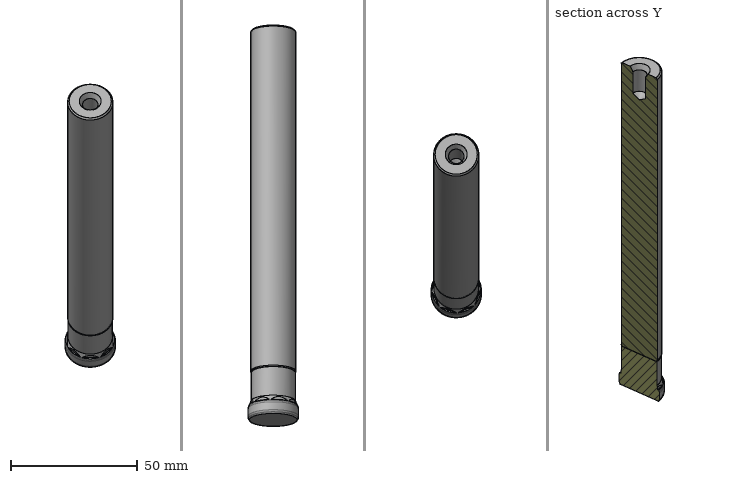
import cadquery as cq
import math

total_length = 160.0
head_length = 19.5
shank_radius = 18.0 / 2
neck_radius = 17.6 / 2
collar_radius = 20.0 / 2
height_tolerance = 0.02

top_chamfer = 0.6
joint_chamfer = 0.5

bottom_chamfer_height = 1.0
bottom_chamfer_width = 0.56
bottom_blend_radius = 1.6
shoulder_bottom = 5.0
shoulder_top = 7.7
collar_blend_radius = 1.6

flat_count = 8
across_flats = 18.0
flats_bottom = 5.8

hole_radius = 6.0 / 2
countersink_radius = 8.6 / 2
countersink_angle = 60.0
hole_depth = 12.8
drill_point_angle = 118.0


def cone_height(radial_change, included_angle):
    """Axial height of a cone over a given change in radius."""
    return radial_change / math.tan(math.radians(included_angle / 2))


def revolve_about_z(profile):
    """Turn a closed XZ half-profile into a solid about the Z axis."""
    return profile.close().revolve(360, (0, 0, 0), (0, 1, 0))


def circle_at(height):
    """Select the circular edges centred on the Z axis at a given height."""
    return cq.selectors.BoxSelector(
        (-collar_radius, -collar_radius, height - height_tolerance),
        (collar_radius, collar_radius, height + height_tolerance),
    )


def make_flats_cutter():
    """Ring outside an upright octagonal prism, with a flat facing each axis."""
    height = shoulder_top - flats_bottom
    across_corners = across_flats / math.cos(math.pi / flat_count)
    base = cq.Workplane("XY", origin=(0, 0, flats_bottom))
    prism = (
        base
        .polygon(flat_count, across_corners)
        .extrude(height)
        .rotate((0, 0, 0), (0, 0, 1), 180 / flat_count)
    )
    return base.circle(2 * collar_radius).extrude(height).cut(prism)


def make_head():
    """Neck with a chamfered collar and a conical shoulder carrying flats."""
    profile = (
        cq.Workplane("XZ")
        .lineTo(collar_radius - bottom_chamfer_width, 0)
        .lineTo(collar_radius, bottom_chamfer_height)
        .lineTo(collar_radius, shoulder_bottom)
        .lineTo(neck_radius, shoulder_top)
        .lineTo(neck_radius, head_length)
        .lineTo(0, head_length)
    )
    head = revolve_about_z(profile)
    head = head.edges(circle_at(shoulder_bottom)).fillet(collar_blend_radius)
    head = head.edges(circle_at(bottom_chamfer_height)).fillet(bottom_blend_radius)
    return head.cut(make_flats_cutter())


def make_centre_hole():
    """Countersunk blind hole with a conical drill point."""
    countersink_depth = cone_height(countersink_radius - hole_radius, countersink_angle)
    hole_end = total_length - hole_depth
    profile = (
        cq.Workplane("XZ")
        .moveTo(0, total_length)
        .lineTo(countersink_radius, total_length)
        .lineTo(hole_radius, total_length - countersink_depth)
        .lineTo(hole_radius, hole_end)
        .lineTo(0, hole_end - cone_height(hole_radius, drill_point_angle))
    )
    return revolve_about_z(profile)


def make_shank():
    """Long cylinder seated on the head, with chamfered ends and a centre hole."""
    cylinder = (
        cq.Workplane("XY", origin=(0, 0, head_length))
        .circle(shank_radius)
        .extrude(total_length - head_length)
    )
    chamfered = cylinder.faces(">Z").chamfer(top_chamfer).faces("<Z").chamfer(joint_chamfer)
    return chamfered.cut(make_centre_hole())


head = make_head()
shank = make_shank()

result = cq.Compound.makeCompound([head.val(), shank.val()])